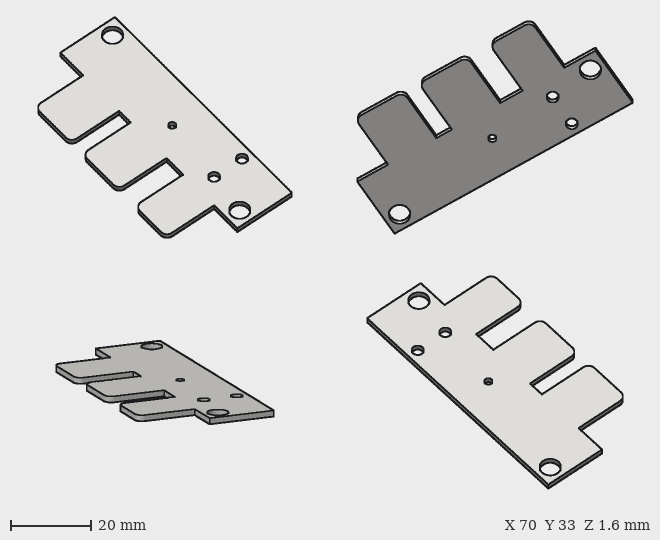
import cadquery as cq

length = 70.0
depth = 33.0
thickness = 1.6

body_depth = 17.5
tab_depth = depth - body_depth
tab_corner_radius = 1.95

wide_tab = 14.2
narrow_tab = 12.25
tabs = [(9.0, wide_tab), (27.8, wide_tab), (48.6, narrow_tab)]

mounting_diameter = 5.3
fixing_diameter = 3.0
pilot_diameter = 2.0
mounting_inset = 4.0
fixing_x = 54.0
fixing_ys = [21.0, 29.95]
pilot_x = length / 2
pilot_y = 22.95

mounting_points = [
    (mounting_inset, depth - mounting_inset),
    (length - mounting_inset, tab_depth + mounting_inset),
]
fixing_points = [(fixing_x, y) for y in fixing_ys]


def make_tab(left, width):
    """Plate tab with its two front corners rounded."""
    return (
        cq.Workplane("XY")
        .box(width, tab_depth, thickness, centered=False)
        .edges("|Z and <Y")
        .fillet(tab_corner_radius)
        .translate((left, 0, 0))
    )


def make_holes(points, diameter):
    """Cylinders to cut through the full plate thickness."""
    return cq.Workplane("XY").pushPoints(points).circle(diameter / 2).extrude(thickness)


result = cq.Workplane("XY").box(length, body_depth, thickness, centered=False).translate((0, tab_depth, 0))

for left, width in tabs:
    result = result.union(make_tab(left, width))

result = result.cut(make_holes(mounting_points, mounting_diameter))
result = result.cut(make_holes(fixing_points, fixing_diameter))
result = result.cut(make_holes([(pilot_x, pilot_y)], pilot_diameter))